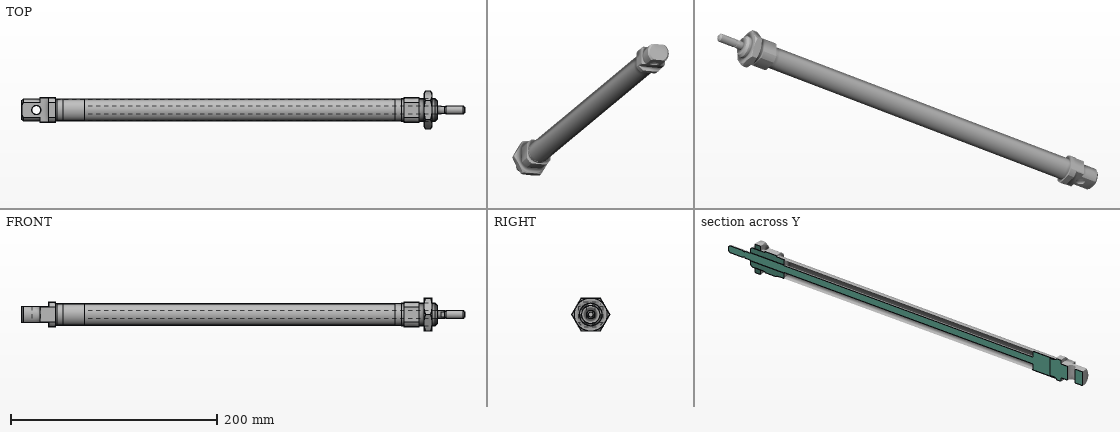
import cadquery as cq
import math

TOTAL_LENGTH = 429.5

TUBE_START = 34.5
TUBE_END = 368.0
TUBE_DIAMETER = 21.5
TUBE_BORE = 20.0
CHAMBER_START = 40.0
CHAMBER_END = 361.5

BLOCK_WIDTH = 24.0
BLOCK_DIAMETER = 28.0

LUG_THICKNESS = 16.0
LUG_CHAMFER = 1.7
REAR_BLOCK_START = 17.5
REAR_SHOULDER = 26.0
REAR_BLOCK_END = 32.5
PIVOT_HOLE_X = 14.0
PIVOT_HOLE_DIAMETER = 8.5

FRONT_BLOCK_START = 370.5
FRONT_BLOCK_END = 385.3
NECK_DIAMETER = 22.0
NECK_END = 403.0
NECK_CHAMFER = 2.0

NUT_START = 390.0
NUT_THICKNESS = 7.7
NUT_ACROSS_CORNERS = 37.0
HEXAGON_HALF_ANGLE = math.radians(30)
NUT_ACROSS_FLATS = NUT_ACROSS_CORNERS * math.cos(HEXAGON_HALF_ANGLE)
NUT_CHAMFER_ANGLE = math.radians(30)

PISTON_END = 61.0
ROD_DIAMETER = 8.0
ROD_FLAT_WIDTH = 7.0
ROD_FLAT_START = 406.5
ROD_SHOULDER = 409.7
UNDERCUT_DIAMETER = 6.5
UNDERCUT_LENGTH = 1.7
ROD_TIP_CHAMFER = 1.7


def rod_along_x(start, end, diameter):
    """A round bar on the X axis from start to end."""
    return cq.Workplane("YZ", origin=(start, 0, 0)).circle(diameter / 2).extrude(end - start)


def box_along_x(start, end, width_y, width_z):
    """A rectangular bar centred on the X axis from start to end."""
    return cq.Workplane("YZ", origin=(start, 0, 0)).rect(width_y, width_z).extrude(end - start)


def square_block(start, end):
    """A square block whose long edges are rounded to the stock diameter."""
    stock = rod_along_x(start, end, BLOCK_DIAMETER)
    return stock.intersect(box_along_x(start, end, BLOCK_WIDTH, BLOCK_WIDTH))


def make_rear_cap():
    """Flat-sided pivot lug, square block and the plug that closes the tube."""
    lug = rod_along_x(0, REAR_BLOCK_START, TUBE_DIAMETER).faces("<X").chamfer(LUG_CHAMFER)
    block = square_block(REAR_BLOCK_START, REAR_BLOCK_END)
    lug_sides = box_along_x(0, REAR_SHOULDER, BLOCK_WIDTH, LUG_THICKNESS)
    shoulder_room = box_along_x(REAR_SHOULDER, REAR_BLOCK_END, BLOCK_WIDTH, BLOCK_WIDTH)
    body = lug.union(block).intersect(lug_sides.union(shoulder_room))
    collar = rod_along_x(REAR_BLOCK_END, TUBE_START, TUBE_DIAMETER)
    plug = rod_along_x(TUBE_START, CHAMBER_START, TUBE_BORE)
    pivot_hole = (
        cq.Workplane("XY", origin=(PIVOT_HOLE_X, 0, -LUG_THICKNESS))
        .circle(PIVOT_HOLE_DIAMETER / 2)
        .extrude(2 * LUG_THICKNESS)
    )
    return body.union(collar).union(plug).cut(pivot_hole)


def make_barrel():
    """Tube and front cap in one piece, bored for the piston and its rod."""
    barrel = rod_along_x(TUBE_START, TUBE_END, TUBE_DIAMETER)
    barrel = barrel.union(rod_along_x(TUBE_END, FRONT_BLOCK_START, NECK_DIAMETER))
    barrel = barrel.union(square_block(FRONT_BLOCK_START, FRONT_BLOCK_END))
    neck = rod_along_x(FRONT_BLOCK_END, NECK_END, NECK_DIAMETER).faces(">X").chamfer(NECK_CHAMFER)
    barrel = barrel.union(neck)
    bore = rod_along_x(TUBE_START, CHAMBER_END, TUBE_BORE)
    rod_hole = rod_along_x(CHAMBER_END, NECK_END, ROD_DIAMETER)
    return barrel.cut(bore).cut(rod_hole)


def make_nut():
    """Hexagon nut with chamfered corners on both faces, flats facing up and down."""
    corner_rise = (NUT_ACROSS_CORNERS - NUT_ACROSS_FLATS) / 2
    chamfer_length = corner_rise * math.tan(NUT_CHAMFER_ANGLE)
    hexagon = (
        cq.Workplane("YZ", origin=(NUT_START, 0, 0))
        .polygon(6, NUT_ACROSS_CORNERS)
        .extrude(NUT_THICKNESS)
    )
    turned_blank = (
        rod_along_x(NUT_START, NUT_START + NUT_THICKNESS, NUT_ACROSS_CORNERS)
        .faces("<X or >X")
        .chamfer(chamfer_length, corner_rise)
    )
    hole = rod_along_x(NUT_START, NUT_START + NUT_THICKNESS, NECK_DIAMETER)
    return hexagon.intersect(turned_blank).cut(hole)


def make_piston_rod():
    """Piston, rod with two wrench flats, undercut and threaded end."""
    piston = rod_along_x(CHAMBER_START, PISTON_END, TUBE_BORE)
    shank = rod_along_x(PISTON_END, ROD_FLAT_START, ROD_DIAMETER)
    flatted_end = rod_along_x(ROD_FLAT_START, ROD_SHOULDER, ROD_DIAMETER).intersect(
        box_along_x(ROD_FLAT_START, ROD_SHOULDER, ROD_FLAT_WIDTH, ROD_DIAMETER)
    )
    thread_start = ROD_SHOULDER + UNDERCUT_LENGTH
    undercut = rod_along_x(ROD_SHOULDER, thread_start, UNDERCUT_DIAMETER)
    thread = rod_along_x(thread_start, TOTAL_LENGTH, ROD_DIAMETER).faces(">X").chamfer(ROD_TIP_CHAMFER)
    return piston.union(shank).union(flatted_end).union(undercut).union(thread)


rear_cap = make_rear_cap()
barrel = make_barrel()
nut = make_nut()
piston_rod = make_piston_rod()

result = cq.Compound.makeCompound([rear_cap.val(), barrel.val(), nut.val(), piston_rod.val()])